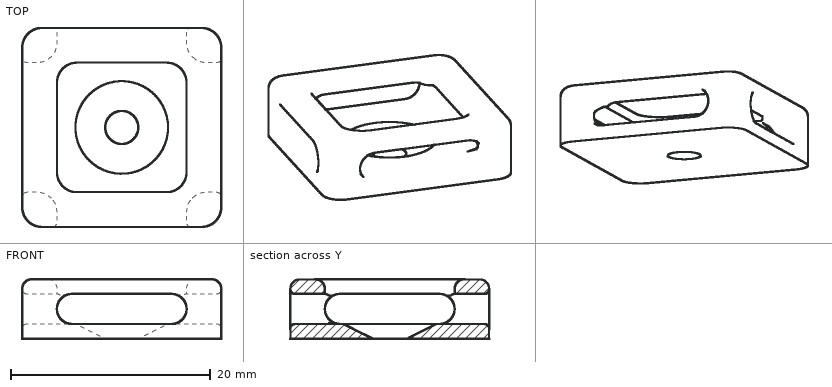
import cadquery as cq

side = 20.0
height = 6.0
corner_radius = 2.0
rim_fillet = 1.0

slot_width = 13.0
slot_height = 3.0
slot_floor = 1.5
slot_mid_height = slot_floor + slot_height / 2
mouth_fillet = 0.5
inner_corner_fillet = 2.0

window_side = slot_width
window_corner_radius = 2.0

hole_diameter = 3.3
countersink_diameter = 9.3


def make_body():
    """Square block with a rounded window; both top rims are filleted."""
    block = cq.Workplane("XY").rect(side, side).extrude(height)
    block = block.edges("|Z").fillet(corner_radius)
    window = cq.Workplane("XY", origin=(0, 0, slot_mid_height))
    window = window.rect(window_side, window_side).extrude(height - slot_mid_height)
    window = window.edges("|Z").fillet(window_corner_radius)
    return block.cut(window).faces(">Z").edges().fillet(rim_fillet)


def make_slot_cross():
    """Two crossing round-ended bars, blended where they meet and flared at their four mouths."""
    bar = cq.Workplane("XZ").slot2D(slot_width, slot_height).extrude(side / 2, both=True)
    cross = bar.union(bar.rotate((0, 0, 0), (0, 0, 1), 90))
    cross = cross.edges("%ELLIPSE").fillet(inner_corner_fillet)

    cube = cq.Workplane("XY").box(side, side, side)
    mouth_zone = cq.selectors.BoxSelector((-side, -side, -slot_height), (side, side, slot_height))
    cube_corners = cq.selectors.ParallelDirSelector(cq.Vector(0, 0, 1))
    pierced = cube.cut(cross).faces("|X or |Y").edges(mouth_zone - cube_corners)
    pierced = pierced.fillet(mouth_fillet)
    return cube.cut(pierced).translate((0, 0, slot_mid_height))


def make_screw_hole():
    """Cone that narrows from the slot floor to the hole diameter at the underside."""
    underside = cq.Workplane("XY").circle(hole_diameter / 2)
    slot_level = underside.workplane(offset=slot_floor).circle(countersink_diameter / 2)
    return slot_level.loft(ruled=True)


result = make_body().cut(make_slot_cross()).cut(make_screw_hole())